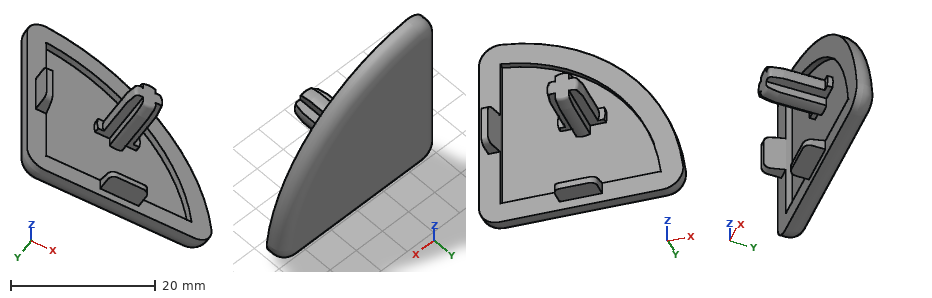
import cadquery as cq
import math

plate_size = 30.0
plate_thickness = 3.0
corner_radius = 3.0
back_fillet = 2.0

corner_center = plate_size - corner_radius
arc_radius = corner_radius + math.hypot(corner_radius, corner_center)

rim_width = 3.12
recess_arc_radius = 26.9
recess_depth = 1.0

feature_center = plate_size / 2
tab_width = 6.25
tab_height = 3.0
tab_outer_offset = 1.38
tab_tip_thickness = 1.0
tab_corner_radius = 1.0

pin_height = 8.0
pin_radius = 2.6
pin_arm_width = 2.0
pin_taper_length = 2.0
pin_tip_radius = 2.25
pin_tip_fillet = 0.5
wing_radius = 3.48
wing_height = 0.8


def quarter_disc(radius, inset):
    """Sharp quarter disc sector, inset from both straight sides; drawn on the XZ plane."""
    end = math.sqrt(radius**2 - inset**2)
    middle = radius * math.sqrt(0.5)
    return (
        cq.Workplane("XZ")
        .moveTo(inset, inset)
        .lineTo(end, inset)
        .threePointArc((middle, middle), (inset, end))
        .close()
    )


def make_plate():
    plate = quarter_disc(arc_radius, 0).extrude(-plate_thickness)
    plate = plate.edges("|Y").fillet(corner_radius)
    plate = plate.faces(">Y").edges().fillet(back_fillet)
    recess = quarter_disc(recess_arc_radius, rim_width).extrude(-recess_depth)
    return plate.cut(recess)


def make_side_tab():
    """Tapered tab on the X = 0 side, sloping on its inner face."""
    tab = (
        cq.Workplane("XY")
        .workplane(offset=feature_center - tab_width / 2)
        .moveTo(tab_outer_offset, 0)
        .lineTo(rim_width, 0)
        .lineTo(tab_outer_offset + tab_tip_thickness, -tab_height)
        .lineTo(tab_outer_offset, -tab_height)
        .close()
        .extrude(tab_width)
    )
    rounded_outline = (
        cq.Workplane("YZ")
        .center(-tab_height / 2, feature_center)
        .rect(tab_height, tab_width)
        .extrude(rim_width)
        .edges("|X and <Y")
        .fillet(tab_corner_radius)
    )
    return tab.intersect(rounded_outline)


def make_pin():
    taper_start = pin_height - pin_taper_length
    body = (
        cq.Workplane("XY", origin=(feature_center, 0, feature_center))
        .moveTo(0, recess_depth)
        .lineTo(pin_radius, recess_depth)
        .lineTo(pin_radius, -taper_start)
        .lineTo(pin_tip_radius, -pin_height)
        .lineTo(0, -pin_height)
        .close()
        .revolve(360, (0, 0, 0), (0, 1, 0))
        .faces("<Y")
        .edges()
        .fillet(pin_tip_fillet)
    )
    base = cq.Workplane("XZ", origin=(feature_center, recess_depth, feature_center))
    total_height = pin_height + recess_depth
    arm_span = 2 * wing_radius
    horizontal_arm = base.rect(arm_span, pin_arm_width).extrude(total_height)
    vertical_arm = base.rect(pin_arm_width, arm_span).extrude(total_height)
    wings = base.circle(wing_radius).extrude(wing_height).intersect(horizontal_arm)
    return body.intersect(horizontal_arm.union(vertical_arm)).union(wings)


side_tab = make_side_tab()
turn_axis_start = (feature_center, 0, feature_center)
turn_axis_end = (feature_center, 1, feature_center)
bottom_tab = side_tab.rotate(turn_axis_start, turn_axis_end, -90)

result = make_plate().union(side_tab).union(bottom_tab).union(make_pin())